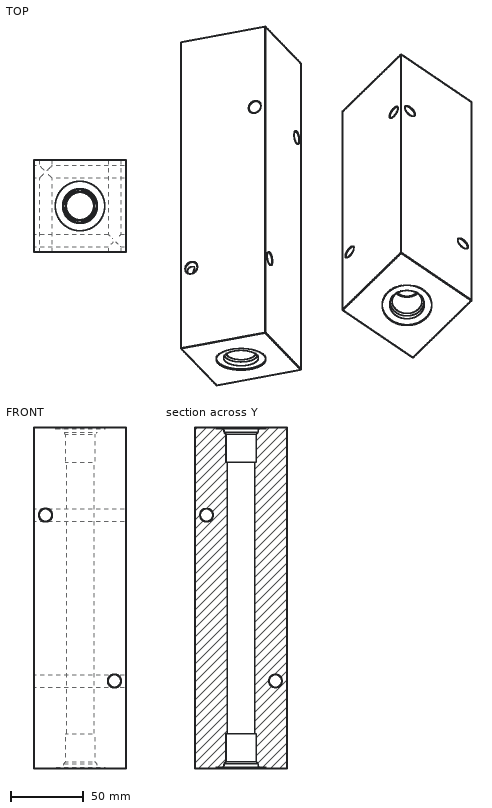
import cadquery as cq
import math

side = 63.5
height = 235.0
edge_chamfer = 0.35

bore_diameter = 18.8
thread_hole_diameter = 20.5
thread_hole_depth = 23.0
seal_cone_diameter = 24.0
seal_cone_depth = 2.5
seal_cone_angle = 12.0
spotface_diameter = 34.0
spotface_depth = 1.0

cross_hole_diameter = 8.7
cross_hole_chamfer = 0.35
cross_hole_offset = 23.7
cross_hole_rise = 57.0


def port_cutter():
    """Revolved cutter for the port in the top face, reaching the middle of the block."""
    bore = bore_diameter / 2
    thread_hole = thread_hole_diameter / 2
    cone_top = seal_cone_diameter / 2
    cone_bottom = cone_top - seal_cone_depth * math.tan(math.radians(seal_cone_angle))
    spotface = spotface_diameter / 2
    top = height / 2
    floor = top - spotface_depth
    cone_end = floor - seal_cone_depth
    chamfer_end = cone_end - (cone_bottom - thread_hole)
    shoulder = floor - thread_hole_depth
    return (
        cq.Workplane("XZ")
        .moveTo(0, 0)
        .lineTo(bore, 0)
        .lineTo(bore, shoulder)
        .lineTo(thread_hole, shoulder)
        .lineTo(thread_hole, chamfer_end)
        .lineTo(cone_bottom, cone_end)
        .lineTo(cone_top, floor)
        .lineTo(spotface, floor)
        .lineTo(spotface, top)
        .lineTo(0, top)
        .close()
        .revolve(360, (0, 0, 0), (0, 1, 0))
    )


def cross_hole_cutter():
    """Revolved cutter along Z for one hole through the block, widened at both ends."""
    hole = cross_hole_diameter / 2
    mouth = hole + cross_hole_chamfer
    face = side / 2
    chamfer_floor = face - cross_hole_chamfer
    return (
        cq.Workplane("XZ")
        .moveTo(0, -face)
        .lineTo(mouth, -face)
        .lineTo(hole, -chamfer_floor)
        .lineTo(hole, chamfer_floor)
        .lineTo(mouth, face)
        .lineTo(0, face)
        .close()
        .revolve(360, (0, 0, 0), (0, 1, 0))
    )


block = cq.Workplane("XY").box(side, side, height).edges().chamfer(edge_chamfer)
top_port = port_cutter()
bottom_port = top_port.mirror("XY")
result = block.cut(top_port).cut(bottom_port)

hole_along_x = cross_hole_cutter().rotate((0, 0, 0), (0, 1, 0), 90)
hole_along_y = cross_hole_cutter().rotate((0, 0, 0), (1, 0, 0), 90)
for level in (1, -1):
    offset = level * cross_hole_offset
    rise = level * cross_hole_rise
    result = result.cut(hole_along_x.translate((0, offset, rise)))
    result = result.cut(hole_along_y.translate((-offset, 0, rise)))